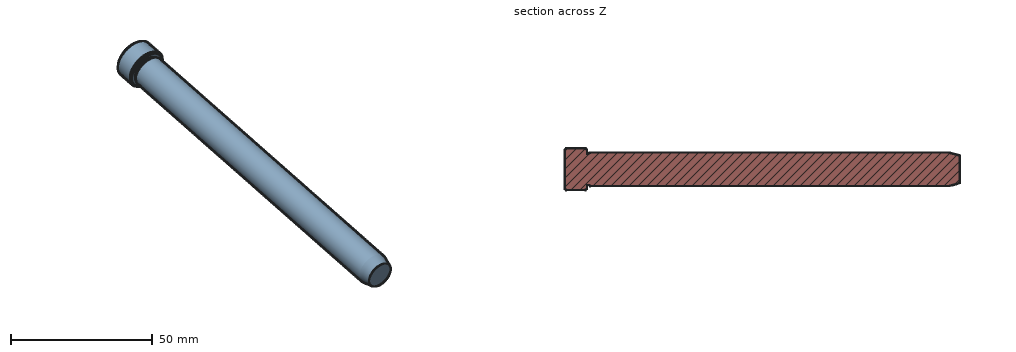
import cadquery as cq
import math

total_length = 140.0
head_diameter = 15.0
head_length = 8.0
head_chamfer = 0.5
shank_diameter = 12.0
neck_depth = 0.4
neck_end = 9.0
neck_arc_radius = 1.0
lead_length = 4.0
lead_angle = 15.0

head_radius = head_diameter / 2
shank_radius = shank_diameter / 2
neck_radius = shank_radius - neck_depth
tip_radius = shank_radius - lead_length * math.tan(math.radians(lead_angle))

profile = (
    cq.Workplane("XY")
    .moveTo(0, 0)
    .lineTo(0, head_radius - head_chamfer)
    .lineTo(head_chamfer, head_radius)
    .lineTo(head_length - head_chamfer, head_radius)
    .lineTo(head_length, head_radius - head_chamfer)
    .lineTo(head_length, neck_radius)
    .radiusArc((neck_end, shank_radius), -neck_arc_radius)
    .lineTo(total_length - lead_length, shank_radius)
    .lineTo(total_length, tip_radius)
    .lineTo(total_length, 0)
    .close()
)
result = profile.revolve(360, (0, 0, 0), (1, 0, 0))